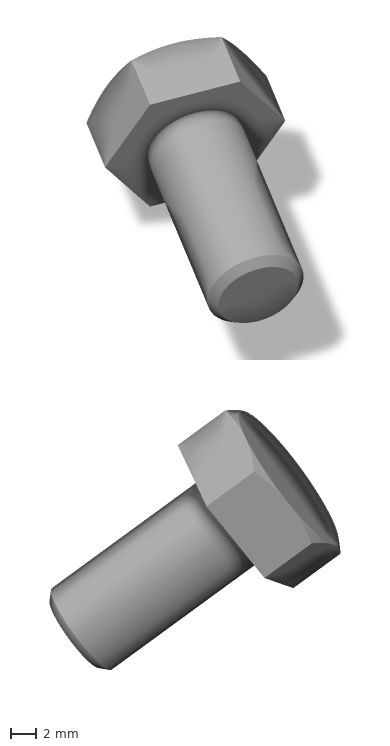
import cadquery as cq
import math

head_sides = 6
across_flats = 13.0
head_height = 5.3
head_chamfer_angle = 30.0

shank_diameter = 8.0
shank_length = 16.0
plain_length = 2.0
thread_root_diameter = 6.647

across_corners = across_flats / math.cos(math.pi / head_sides)
tip_chamfer = (shank_diameter - thread_root_diameter) / 2
corner_drop = (across_corners - across_flats) / 2 * math.tan(math.radians(head_chamfer_angle))


def revolve_about_x(profile):
    """Turn a closed XZ outline, given as (x, radius) points, about the X axis."""
    return cq.Workplane("XZ").polyline(profile).close().revolve(360, (0, 0, 0), (1, 0, 0), clean=False)


def make_head():
    """Hexagonal prism with flats facing +Z and -Z, its corners cut by a cone."""
    prism = cq.Workplane("YZ").polygon(head_sides, across_corners).extrude(-head_height)
    envelope = revolve_about_x([
        (-head_height, 0),
        (-head_height, across_flats / 2),
        (-head_height + corner_drop, across_corners / 2),
        (0, across_corners / 2),
        (0, 0),
    ])
    return prism.intersect(envelope)


def make_shank():
    """Plain neck and threaded length of equal diameter, with a 45 degree tip chamfer."""
    radius = shank_diameter / 2
    return revolve_about_x([
        (0, 0),
        (0, radius),
        (plain_length, radius),
        (shank_length - tip_chamfer, radius),
        (shank_length, radius - tip_chamfer),
        (shank_length, 0),
    ])


result = make_head().union(make_shank(), clean=False)